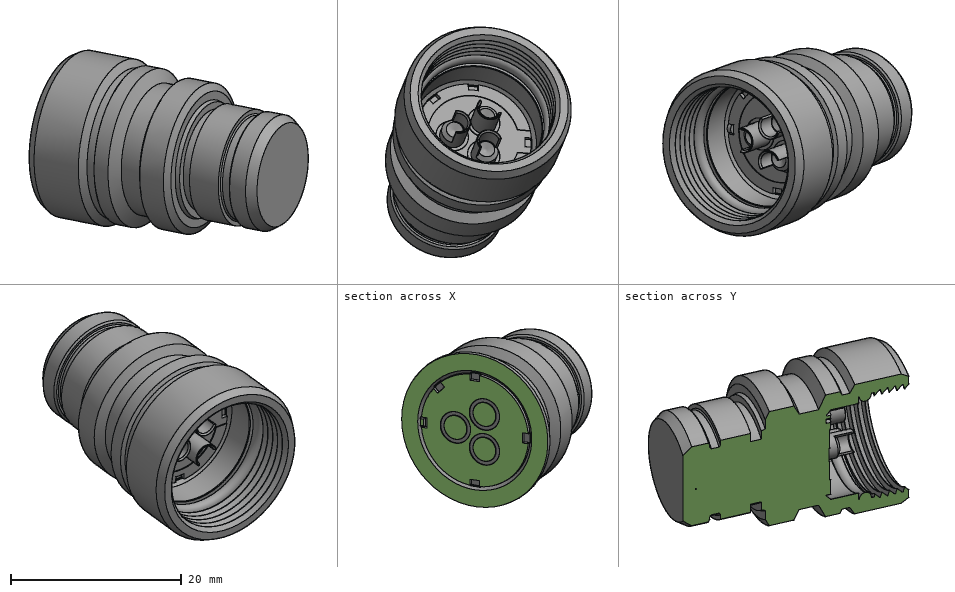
import cadquery as cq
LENGTH = 28.8

COUPLING_R = 10.0
MOUTH_RIM_R = 9.45
BAND_R = 9.5
COLLAR_R = 9.05
WAIST_R = 7.92
COLLAR_BACK_R = 8.15
FLANGE_R = 7.1
REAR_R = 6.97
NECK_R = 6.1
CLIP_GROOVE_R = 6.28
CLIP_GROOVE_LIP_R = 6.7
TAIL_R = 6.22

MOUTH_R = 8.5
THREAD_MINOR_R = 8.04
THREAD_START = 0.52
THREAD_LENGTH = 3.85
THREAD_COUNT = 4
CREST_WIDTH = 0.05
THREAD_DEPTH = 0.6
BACK_FLANK_RUN = 0.2

SEAL_CENTRE_R = 8.4
SEAL_SECTION_R = 0.8
SEAL_SHOULDER_X = 6.36
BORE_R = 7.52
BORE_EDGE_CHAMFER = 0.1

FLOOR_X = 9.95
FLOOR_R = 6.97
FLOOR_GROOVE_DEPTH = 0.6
INSERT_R = 5.47
INSERT_KEY_WIDTH = 3.0
INSERT_RECESS = 0.12

SLOT_WIDTH = 1.2
SLOT_INNER_R = 6.2
SLOT_OUTER_R = 7.08
SLOT_DEPTH = 0.58
SLOT_ANGLES = (0, 45, 90, 180, 270)
DOWEL_INNER_R = 6.6

CONTACT_COUNT = 3
CONTACT_CIRCLE_R = 2.5
CONTACT_R = 1.5
CONTACT_TIP_X = 6.35
CONTACT_TIP_CHAMFER = 0.1
CONTACT_LEAD_IN = 0.2
CONTACT_SHELL_BORE_R = 1.2
CONTACT_SHELL_ANGLE = 200.0
CONTACT_BASE_X = 8.93
CONTACT_TAPER_LENGTH = 0.43
CONTACT_HOLE_R = 1.0
CONTACT_CONE_DEPTH = 0.58
CONTACT_SEAT_R = 1.93
CONTACT_SEAT_DEPTH = 0.12


def revolve_about_x(sketch):
    """Revolve a closed (x, radius) outline a full turn about the X axis."""
    return sketch.close().revolve(360, (0, 0, 0), (1, 0, 0))


def shell_blank():
    """Solid of revolution with the whole stepped outside of the shell."""
    outline = [
        (0, 0),
        (0, MOUTH_RIM_R),
        (0.98, COUPLING_R),
        (6.9, COUPLING_R),
        (7.55, COLLAR_R),
        (8.5, COLLAR_R),
        (8.75, BAND_R),
        (10.63, BAND_R),
        (11.52, WAIST_R),
        (13.97, WAIST_R),
        (14.63, COLLAR_R),
        (17.8, COLLAR_R),
        (18.32, COLLAR_BACK_R),
        (18.32, FLANGE_R),
        (18.84, REAR_R),
        (18.84, NECK_R),
        (20.15, NECK_R),
        (20.15, REAR_R),
        (24.02, REAR_R),
        (24.02, 6.45),
        (24.2, CLIP_GROOVE_R),
        (25.17, CLIP_GROOVE_R),
        (25.35, 6.45),
        (25.35, CLIP_GROOVE_LIP_R),
        (25.55, REAR_R),
        (27.68, REAR_R),
        (LENGTH, TAIL_R),
        (LENGTH, 0),
    ]
    return revolve_about_x(cq.Workplane("XY").polyline(outline))


def socket_cavity():
    """Mouth chamfer, thread rings, sealing ring, bore and the tapered groove round the floor."""
    pitch = THREAD_LENGTH / THREAD_COUNT
    seal_x = SEAL_SHOULDER_X - SEAL_SECTION_R
    seal_front_x = seal_x - SEAL_SECTION_R

    sketch = cq.Workplane("XY").moveTo(0, 0).lineTo(0, MOUTH_R).lineTo(THREAD_START, THREAD_MINOR_R)
    for i in range(THREAD_COUNT):
        groove_x = THREAD_START + CREST_WIDTH + i * pitch
        sketch = (
            sketch.lineTo(groove_x, THREAD_MINOR_R)
            .lineTo(groove_x + BACK_FLANK_RUN, THREAD_MINOR_R + THREAD_DEPTH)
            .lineTo(groove_x + pitch - CREST_WIDTH, THREAD_MINOR_R)
        )
    last_crest_end = THREAD_START + THREAD_LENGTH + CREST_WIDTH
    sketch = (
        sketch.lineTo(last_crest_end, THREAD_MINOR_R)
        .lineTo(last_crest_end, SEAL_CENTRE_R)
        .lineTo(seal_front_x, SEAL_CENTRE_R)
        .threePointArc((seal_x, SEAL_CENTRE_R - SEAL_SECTION_R), (SEAL_SHOULDER_X, SEAL_CENTRE_R))
        .lineTo(SEAL_SHOULDER_X, BORE_R + BORE_EDGE_CHAMFER)
        .lineTo(SEAL_SHOULDER_X + BORE_EDGE_CHAMFER, BORE_R)
        .lineTo(FLOOR_X, BORE_R)
        .lineTo(FLOOR_X + FLOOR_GROOVE_DEPTH, FLOOR_R)
        .lineTo(FLOOR_X, FLOOR_R)
        .lineTo(FLOOR_X, 0)
    )
    return revolve_about_x(sketch)


def floor_plane(x):
    """Plane facing +X at the given X; its local axes are Y and Z."""
    return cq.Workplane("YZ", origin=(x, 0, 0))


def insert_recess():
    """Shallow round recess with a key running out to the -Y wall."""
    disc = floor_plane(FLOOR_X).circle(INSERT_R).extrude(INSERT_RECESS)
    key = floor_plane(FLOOR_X).center(-FLOOR_R / 2, 0).rect(FLOOR_R, INSERT_KEY_WIDTH).extrude(INSERT_RECESS)
    rim = floor_plane(FLOOR_X).circle(FLOOR_R).extrude(INSERT_RECESS)
    return disc.union(key.intersect(rim))


def floor_slot(angle):
    """Square slot at the edge of the floor, turned about the X axis."""
    slot = (
        floor_plane(FLOOR_X)
        .center((SLOT_INNER_R + SLOT_OUTER_R) / 2, 0)
        .rect(SLOT_OUTER_R - SLOT_INNER_R, SLOT_WIDTH)
        .extrude(SLOT_DEPTH)
    )
    return slot.rotate((0, 0, 0), (1, 0, 0), angle)


def slot_dowel():
    """Radial dowel lying in the +Y slot."""
    dowel_r = SLOT_WIDTH / 2
    return (
        cq.Workplane("XZ", origin=(FLOOR_X + SLOT_DEPTH, DOWEL_INNER_R, 0))
        .circle(dowel_r)
        .extrude(DOWEL_INNER_R - SLOT_OUTER_R)
    )


def contact_base():
    """Round contact base with a tapered end and a conical hollow, on the X axis."""
    base_end_x = CONTACT_BASE_X - CONTACT_TAPER_LENGTH
    outline = [
        (FLOOR_X + SLOT_DEPTH, 0),
        (FLOOR_X + SLOT_DEPTH, CONTACT_R),
        (CONTACT_BASE_X, CONTACT_R),
        (base_end_x, CONTACT_HOLE_R),
        (base_end_x + CONTACT_CONE_DEPTH, 0),
    ]
    return revolve_about_x(cq.Workplane("XY").polyline(outline))


def contact_shell():
    """Part-round tongue with a chamfered tip, centred on the -Y side of the X axis."""
    outline = [
        (CONTACT_BASE_X, CONTACT_SHELL_BORE_R),
        (CONTACT_BASE_X, CONTACT_R),
        (CONTACT_TIP_X + CONTACT_TIP_CHAMFER, CONTACT_R),
        (CONTACT_TIP_X, CONTACT_R - CONTACT_TIP_CHAMFER),
        (CONTACT_TIP_X + CONTACT_LEAD_IN, CONTACT_SHELL_BORE_R),
    ]
    tongue = cq.Workplane("XY").polyline(outline).close().revolve(CONTACT_SHELL_ANGLE, (0, 0, 0), (1, 0, 0))
    return tongue.rotate((0, 0, 0), (1, 0, 0), 180 - CONTACT_SHELL_ANGLE / 2)


result = shell_blank().cut(socket_cavity()).cut(insert_recess())

for slot_angle in SLOT_ANGLES:
    result = result.cut(floor_slot(slot_angle))
result = result.union(slot_dowel())

seat = (
    floor_plane(FLOOR_X)
    .center(CONTACT_CIRCLE_R, 0)
    .circle(CONTACT_SEAT_R)
    .extrude(INSERT_RECESS + CONTACT_SEAT_DEPTH)
)
contact = contact_base().union(contact_shell()).translate((0, CONTACT_CIRCLE_R, 0))
for i in range(CONTACT_COUNT):
    contact_angle = 360 / CONTACT_COUNT * i
    result = result.cut(seat.rotate((0, 0, 0), (1, 0, 0), contact_angle))
    result = result.union(contact.rotate((0, 0, 0), (1, 0, 0), contact_angle))